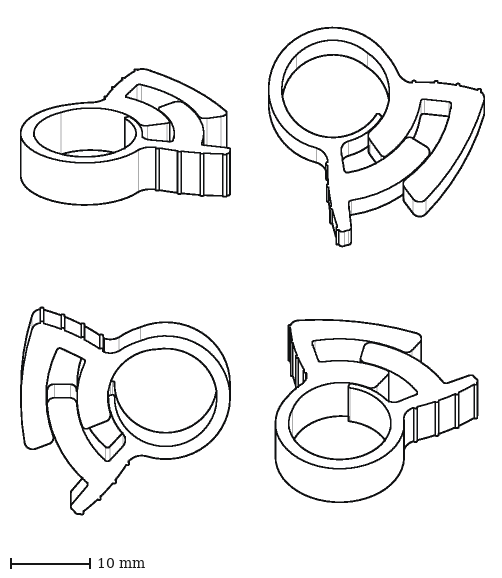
import cadquery as cq
import math


WIDTH = 6.0

RING_OUTER = 8.15
BORE = 6.45
JAW_GAP = 0.08
LIP_OUTER = 7.23
LOWER_JAW_INNER = LIP_OUTER + JAW_GAP
LOWER_JAW_OUTER = 11.2
MIDDLE_JAW_INNER = LOWER_JAW_OUTER + JAW_GAP
MIDDLE_JAW_OUTER = 15.0
UPPER_JAW_GAP = 0.1
UPPER_JAW_INNER = MIDDLE_JAW_OUTER + UPPER_JAW_GAP
TAIL_OUTER = 18.93

SIDE_RADIUS = 23.45
LEFT_SIDE_CENTER_X = 8.25
RIGHT_SIDE_CENTER_X = -8.15
SIDE_CENTER_Y = 23.9

SIDE_END_ANGLE = 48.2
LEFT_SIDE_START_ANGLE = 24.3
RIGHT_SIDE_START_ANGLE = 24.7
SIDE_MIDDLE_ANGLE = 36

RIDGE_RADIUS = 0.25
RIDGE_COUNT = 4
RIDGE_FIRST_ANGLE = 26.6
LEFT_RIDGE_PITCH = 6.8
RIGHT_RIDGE_PITCH = 7.1


def polar(radius, angle):
    """Point at a radius and an angle in degrees about the bore axis."""
    a = math.radians(angle)
    return (radius * math.cos(a), radius * math.sin(a))


def on_circle(line, radius):
    """Upper point where a line (x, y, angle) crosses a circle about the bore axis."""
    x, y, angle = line
    dx, dy = polar(1, angle)
    along = x * dx + y * dy
    step = -along + math.sqrt(along**2 - x**2 - y**2 + radius**2)
    return (x + step * dx, y + step * dy)


def mid_arc(start, end, radius):
    """Point midway between two points, on a circle about the bore axis."""
    x, y = start[0] + end[0], start[1] + end[1]
    return polar(radius, math.degrees(math.atan2(y, x)))


def left_side(angle):
    """Point on the left gripping side; the angle is measured below its arc center."""
    x, y = polar(SIDE_RADIUS, angle)
    return (LEFT_SIDE_CENTER_X - x, SIDE_CENTER_Y - y)


def right_side(angle):
    """Point on the right gripping side; the angle is measured below its arc center."""
    x, y = polar(SIDE_RADIUS, angle)
    return (RIGHT_SIDE_CENTER_X + x, SIDE_CENTER_Y - y)


UPPER_JAW_END = (3.27, 16.5, 79.6)
MIDDLE_JAW_END = (-2.55, 12.9, 101.5)
LOWER_JAW_END = (1.85, 9.25, 78.8)
LEFT_STEM = (-7.95, 10.4, 127.8)
RIGHT_STEM = (6.13, 7.75, 53.1)
TAIL_INNER = (10.47, 13.18, 50.4)

bore_left = polar(BORE, 182)
bore_seam = polar(LOWER_JAW_INNER, 102)
lower_in = on_circle(LOWER_JAW_END, LOWER_JAW_INNER)
lower_out = on_circle(LOWER_JAW_END, LOWER_JAW_OUTER)
left_stem_low = on_circle(LEFT_STEM, LOWER_JAW_OUTER)
left_stem_high = on_circle(LEFT_STEM, UPPER_JAW_INNER)
upper_in = on_circle(UPPER_JAW_END, UPPER_JAW_INNER)
upper_out = (3.65, 18.67)
upper_left = left_side(LEFT_SIDE_START_ANGLE)
left_neck_top = left_side(SIDE_END_ANGLE)
left_neck_low = (-7.18, 4.6)
left_ring = polar(RING_OUTER, 168)

bore_left_bulge = polar(7.05, 140)
upper_jaw_back = (-5.3, 17.51)
left_neck_waist = (-7.1, 5.5)
left_neck_flare = (-7.55, 3.65)

right_ring = polar(RING_OUTER, 29.3)
right_neck_waist = (6.88, 4.9)
right_neck_top = right_side(SIDE_END_ANGLE)
tail_corner = right_side(RIGHT_SIDE_START_ANGLE)
tail_tip = on_circle(TAIL_INNER, TAIL_OUTER)
tail_root = on_circle(TAIL_INNER, MIDDLE_JAW_OUTER)
middle_out = on_circle(MIDDLE_JAW_END, MIDDLE_JAW_OUTER)
middle_in = on_circle(MIDDLE_JAW_END, MIDDLE_JAW_INNER)
right_stem_high = on_circle(RIGHT_STEM, MIDDLE_JAW_INNER)
right_stem_low = on_circle(RIGHT_STEM, LIP_OUTER)
lip_out = polar(LIP_OUTER, 103.5)
lip_in = polar(BORE, 105)


def arc_about_bore(sketch, start, end, radius):
    """Continue the outline from start to end along a circle about the bore axis."""
    return sketch.threePointArc(mid_arc(start, end, radius), end)


def clip_body():
    s = cq.Workplane("XY").moveTo(*bore_left)
    s = s.threePointArc(bore_left_bulge, bore_seam)
    s = arc_about_bore(s, bore_seam, lower_in, LOWER_JAW_INNER)
    s = s.lineTo(*lower_out)
    s = arc_about_bore(s, lower_out, left_stem_low, LOWER_JAW_OUTER)
    s = s.lineTo(*left_stem_high)
    s = arc_about_bore(s, left_stem_high, upper_in, UPPER_JAW_INNER)
    s = s.lineTo(*upper_out)
    s = s.threePointArc(upper_jaw_back, upper_left)
    s = s.threePointArc(left_side(SIDE_MIDDLE_ANGLE), left_neck_top)
    s = s.threePointArc(left_neck_waist, left_neck_low)
    s = s.threePointArc(left_neck_flare, left_ring)
    s = s.threePointArc(polar(RING_OUTER, 270), right_ring)
    s = s.threePointArc(right_neck_waist, right_neck_top)
    s = s.threePointArc(right_side(SIDE_MIDDLE_ANGLE), tail_corner)
    s = arc_about_bore(s, tail_corner, tail_tip, TAIL_OUTER)
    s = s.lineTo(*tail_root)
    s = arc_about_bore(s, tail_root, middle_out, MIDDLE_JAW_OUTER)
    s = s.lineTo(*middle_in)
    s = arc_about_bore(s, middle_in, right_stem_high, MIDDLE_JAW_INNER)
    s = s.lineTo(*right_stem_low)
    s = arc_about_bore(s, right_stem_low, lip_out, LIP_OUTER)
    s = s.lineTo(*lip_in)
    s = s.threePointArc(polar(BORE, 0), polar(BORE, 270))
    s = s.threePointArc(polar(BORE, 225), bore_left)
    return s.close().extrude(WIDTH)


CORNER_FILLETS = [
    (lower_in, 0.88),
    (lower_out, 0.54),
    (left_stem_low, 0.4),
    (left_stem_high, 0.4),
    (upper_in, 0.8),
    (upper_out, 1.07),
    (upper_left, 1.18),
    (tail_corner, 0.54),
    (tail_tip, 0.43),
    (tail_root, 0.4),
    (middle_out, 0.88),
    (middle_in, 0.8),
    (right_stem_high, 0.4),
    (right_stem_low, 1.25),
    (lip_out, 0.25),
    (lip_in, 0.25),
]


def round_corners(body):
    for (x, y), radius in CORNER_FILLETS:
        corner = cq.selectors.NearestToPointSelector((x, y, WIDTH / 2))
        body = body.edges("|Z").edges(corner).fillet(radius)
    return body


def grip_ridges():
    centers = []
    for i in range(RIDGE_COUNT):
        centers.append(left_side(RIDGE_FIRST_ANGLE + i * LEFT_RIDGE_PITCH))
        centers.append(right_side(RIDGE_FIRST_ANGLE + i * RIGHT_RIDGE_PITCH))
    return cq.Workplane("XY").pushPoints(centers).circle(RIDGE_RADIUS).extrude(WIDTH)


result = round_corners(clip_body()).union(grip_ridges())